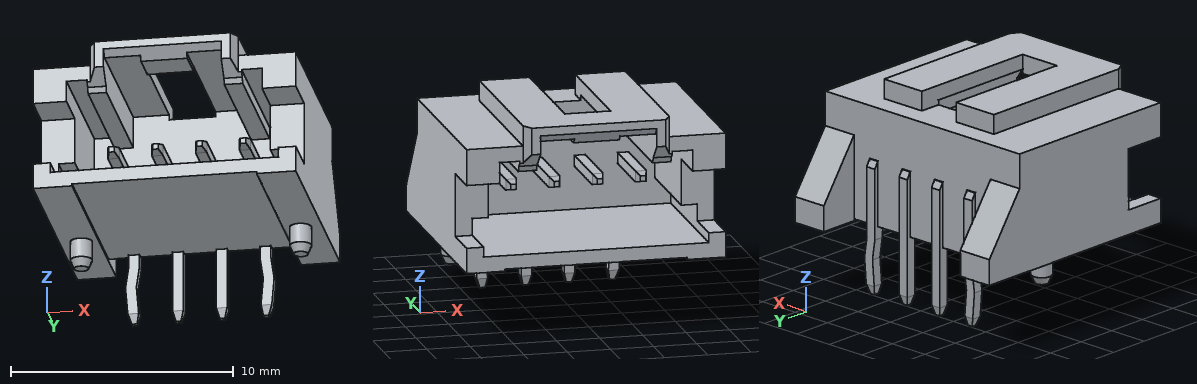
import cadquery as cq
import math


WIDTH = 12.0
BODY_TOP = 5.77
BODY_BACK = 9.28
FOOT_BACK = 11.25
FOOT_WIDTH = 1.79
FOOT_BACK_HEIGHT = 1.25
SLOPE_TOP = 4.12
BOARD_GAP = 0.1
GAP_HALF_WIDTH = WIDTH / 2 - FOOT_WIDTH

CAVITY_DEPTH = 7.09
FLOOR_TOP = 0.73
LOWER_HALF_WIDTH = 5.21
LOWER_TOP = 1.97
UPPER_HALF_WIDTH = 4.46
UPPER_TOP = 5.08
NOTCH_DEPTH = 2.12
NOTCH_BOTTOM = 1.19
NOTCH_TOP = 4.1

COVER_TOP = 6.71
COVER_HALF_WIDTH = 3.38
COVER_BACK = 8.18
LIP_REACH = 0.49
LIP_CORNER = 0.29
LIP_LEG_BOTTOM = 5.47
CHANNEL_HALF_WIDTH = 2.69
CHANNEL_TOP = 6.0
LEAD_IN_TOP = 6.32
LEAD_IN_ANGLE = 40.0
WINDOW_HALF_WIDTH = 1.05
WINDOW_FRONT = 1.58
LATCH_BOTTOM = 5.78

RIB_HALF_WIDTH = 3.53
RIB_BOTTOM = 4.52
RIB_BEVEL_BOTTOM = 4.79
RIB_NOSE_RUN = 0.1

PEG_DIAMETER = 1.0
PEG_TIP_DIAMETER = 0.65
PEG_X = 5.0
PEG_Y = 6.77
PEG_SHOULDER = -0.89
PEG_BOTTOM = -1.28

PIN_COUNT = 4
PIN_ROW_SPAN = 6.0
PITCH = PIN_ROW_SPAN / (PIN_COUNT - 1)
PIN_SIZE = 0.5
PIN_TIP_SIZE = 0.25
TAPER_LENGTH = 0.47
PIN_AXIS_Z = 2.99
LEG_AXIS_Y = 9.22
PIN_FRONT = 3.32
PIN_BOTTOM = -3.19
ELBOW_RUN = 0.2
ELBOW_DROP = 0.35
KINK_START = -0.48
KINK_MIDDLE = -1.46
KINK_OFFSET = 0.15


def box(x_min, x_max, y_min, y_max, z_min, z_max):
    return cq.Workplane("XY").box(
        x_max - x_min, y_max - y_min, z_max - z_min, centered=False
    ).translate((x_min, y_min, z_min))


def centred_box(half_width, y_min, y_max, z_min, z_max):
    return box(-half_width, half_width, y_min, y_max, z_min, z_max)


def side_prism(half_width, points):
    """Extrude a (Y, Z) outline symmetrically about X = 0."""
    return cq.Workplane("YZ").polyline(points).close().extrude(half_width, both=True)


def lead_in_y(z):
    """Y of the sloped lead-in face at height z."""
    return -LIP_REACH + (LEAD_IN_TOP - z) * math.tan(math.radians(LEAD_IN_ANGLE))


def make_shell():
    shell = side_prism(WIDTH / 2, [
        (0, 0),
        (FOOT_BACK, 0),
        (FOOT_BACK, FOOT_BACK_HEIGHT),
        (BODY_BACK, SLOPE_TOP),
        (BODY_BACK, BODY_TOP),
        (0, BODY_TOP),
    ])
    between_feet = centred_box(GAP_HALF_WIDTH, BODY_BACK, FOOT_BACK, 0, BODY_TOP)
    board_relief = centred_box(GAP_HALF_WIDTH, 0, BODY_BACK, 0, BOARD_GAP)
    return shell.cut(between_feet).cut(board_relief)


def make_cavity():
    lower = centred_box(LOWER_HALF_WIDTH, 0, CAVITY_DEPTH, FLOOR_TOP, LOWER_TOP)
    upper = centred_box(UPPER_HALF_WIDTH, 0, CAVITY_DEPTH, FLOOR_TOP, UPPER_TOP)
    side_notches = centred_box(WIDTH / 2, 0, NOTCH_DEPTH, NOTCH_BOTTOM, NOTCH_TOP)
    return lower.union(upper).union(side_notches)


def make_cover():
    """Roof cover with a bevelled front lip; its lower edge slopes back at 45 degrees."""
    lip_half_width = COVER_HALF_WIDTH - LIP_CORNER
    plan = [
        (-lip_half_width, -LIP_REACH),
        (lip_half_width, -LIP_REACH),
        (COVER_HALF_WIDTH, 0),
        (COVER_HALF_WIDTH, COVER_BACK),
        (-COVER_HALF_WIDTH, COVER_BACK),
        (-COVER_HALF_WIDTH, 0),
    ]
    blank = cq.Workplane("XY").polyline(plan).close().extrude(COVER_TOP)
    side = side_prism(COVER_HALF_WIDTH, [
        (-LIP_REACH, COVER_TOP),
        (-LIP_REACH, LIP_LEG_BOTTOM),
        (0, LIP_LEG_BOTTOM - LIP_REACH),
        (0, BODY_TOP),
        (COVER_BACK, BODY_TOP),
        (COVER_BACK, COVER_TOP),
    ])
    return blank.intersect(side)


def make_ribs():
    """Block under the roof that the latch channel later splits into two guide ribs."""
    bevel_end_y = LIP_LEG_BOTTOM - LIP_REACH - RIB_BEVEL_BOTTOM
    return side_prism(RIB_HALF_WIDTH, [
        (0, BODY_TOP),
        (0, LIP_LEG_BOTTOM - LIP_REACH),
        (bevel_end_y, RIB_BEVEL_BOTTOM),
        (bevel_end_y + RIB_NOSE_RUN, RIB_BOTTOM),
        (CAVITY_DEPTH, RIB_BOTTOM),
        (CAVITY_DEPTH, BODY_TOP),
    ])


def make_latch_channel():
    return side_prism(CHANNEL_HALF_WIDTH, [
        (-LIP_REACH, RIB_BOTTOM),
        (-LIP_REACH, LEAD_IN_TOP),
        (lead_in_y(CHANNEL_TOP), CHANNEL_TOP),
        (CAVITY_DEPTH, CHANNEL_TOP),
        (CAVITY_DEPTH, RIB_BOTTOM),
    ])


def make_latch_ramp():
    """Ramp that continues the lead-in face downwards in front of the window."""
    return side_prism(WINDOW_HALF_WIDTH, [
        (lead_in_y(CHANNEL_TOP), CHANNEL_TOP),
        (lead_in_y(LATCH_BOTTOM), LATCH_BOTTOM),
        (WINDOW_FRONT, LATCH_BOTTOM),
        (WINDOW_FRONT, CHANNEL_TOP),
    ])


def make_peg(x):
    radius = PEG_DIAMETER / 2
    profile = [
        (0, BOARD_GAP),
        (radius, BOARD_GAP),
        (radius, PEG_SHOULDER),
        (PEG_TIP_DIAMETER / 2, PEG_BOTTOM),
        (0, PEG_BOTTOM),
    ]
    peg = cq.Workplane("XZ").polyline(profile).close().revolve(360, (0, 0), (0, 1))
    return peg.translate((x, PEG_Y, 0))


def make_housing():
    window = centred_box(WINDOW_HALF_WIDTH, WINDOW_FRONT, COVER_BACK, BODY_TOP, COVER_TOP)
    housing = make_shell().cut(make_cavity())
    housing = housing.union(make_ribs()).union(make_cover())
    housing = housing.cut(make_latch_channel()).cut(window)
    housing = housing.union(make_latch_ramp())
    for x in (-PEG_X, PEG_X):
        housing = housing.union(make_peg(x))
    return housing


def make_pin(x, kink):
    """Square right-angle pin with tapered ends; kink is the sideways bulge of its leg."""
    half = PIN_SIZE / 2
    tip_half = PIN_TIP_SIZE / 2
    top = PIN_AXIS_Z + half
    back = LEG_AXIS_Y + half
    taper_end = PIN_FRONT + TAPER_LENGTH
    taper_start = PIN_BOTTOM + TAPER_LENGTH

    side = side_prism(PITCH / 2, [
        (PIN_FRONT, PIN_AXIS_Z + tip_half),
        (taper_end, top),
        (back - ELBOW_RUN, top),
        (back, top - ELBOW_DROP),
        (back, taper_start),
        (LEG_AXIS_Y + tip_half, PIN_BOTTOM),
        (LEG_AXIS_Y + tip_half, PIN_BOTTOM - tip_half),
        (LEG_AXIS_Y - tip_half, PIN_BOTTOM - tip_half),
        (LEG_AXIS_Y - tip_half, PIN_BOTTOM),
        (LEG_AXIS_Y - half, taper_start),
        (LEG_AXIS_Y - half, PIN_AXIS_Z - half),
        (taper_end, PIN_AXIS_Z - half),
        (PIN_FRONT, PIN_AXIS_Z - tip_half),
    ])
    arm_plan = [
        (-tip_half, PIN_FRONT),
        (tip_half, PIN_FRONT),
        (half, taper_end),
        (half, back),
        (-half, back),
        (-half, taper_end),
    ]
    arm = (
        cq.Workplane("XY").workplane(offset=PIN_AXIS_Z - half)
        .polyline(arm_plan).close().extrude(PIN_SIZE)
    )

    lean = math.atan2(kink, KINK_MIDDLE - PIN_BOTTOM)

    def leaning_point(across, along):
        """Point beside the lower leg's axis: across to +X, along up from the tip."""
        return (
            across * math.cos(lean) + along * math.sin(lean),
            PIN_BOTTOM - across * math.sin(lean) + along * math.cos(lean),
        )

    leg_front = [
        (-half, top),
        (-half, KINK_START),
        (kink - half, KINK_MIDDLE),
        leaning_point(-half, TAPER_LENGTH),
        leaning_point(-tip_half, 0),
        leaning_point(tip_half, 0),
        leaning_point(half, TAPER_LENGTH),
        (kink + half, KINK_MIDDLE),
        (half, KINK_START),
        (half, top),
    ]
    leg = (
        cq.Workplane("XZ", origin=(0, back, 0))
        .polyline(leg_front).close().extrude(PIN_SIZE)
    )
    return arm.union(leg).intersect(side).translate((x, 0, 0))


housing = make_housing()
pins = []
for index in range(PIN_COUNT):
    pin_x = (index - (PIN_COUNT - 1) / 2) * PITCH
    if index == 0:
        leg_kink = -KINK_OFFSET
    elif index == PIN_COUNT - 1:
        leg_kink = KINK_OFFSET
    else:
        leg_kink = 0.0
    pin = make_pin(pin_x, leg_kink)
    housing = housing.cut(pin)
    pins.append(pin)

result = cq.Compound.makeCompound([housing.val(), *[pin.val() for pin in pins]])